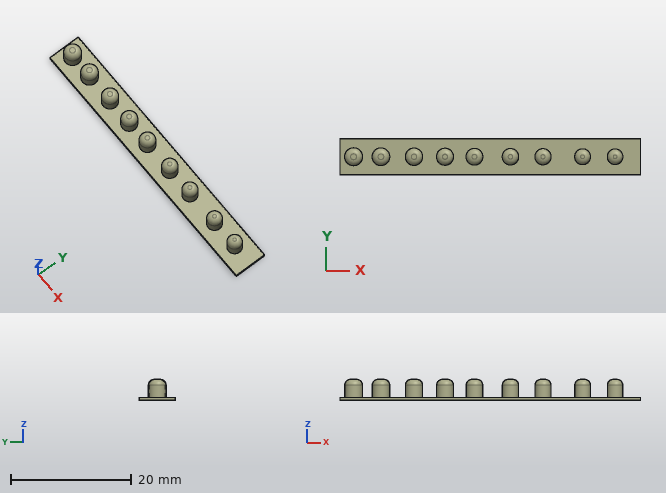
import cadquery as cq

strip_length = 50.0
strip_width = 6.0
strip_thickness = 0.5

pin_height = 3.0
pin_top_radius = 1.0
first_pin_diameter = 3.0
pin_diameter_step = 0.05

pin_offsets = [2.27, 6.82, 12.32, 17.48, 22.37, 28.36, 33.77, 40.36, 45.76]


def make_strip():
    return cq.Workplane("XY").box(
        strip_length, strip_width, strip_thickness, centered=(True, True, False)
    )


def make_pin(x, diameter):
    """Upright pin standing on the strip, with its top rim rounded to leave a small flat."""
    return (
        cq.Workplane("XY", origin=(x, 0, strip_thickness))
        .circle(diameter / 2)
        .extrude(pin_height)
        .faces(">Z")
        .edges()
        .fillet(pin_top_radius)
    )


result = make_strip()
for index, offset in enumerate(pin_offsets):
    pin_x = offset - strip_length / 2
    pin_diameter = first_pin_diameter - index * pin_diameter_step
    result = result.union(make_pin(pin_x, pin_diameter))